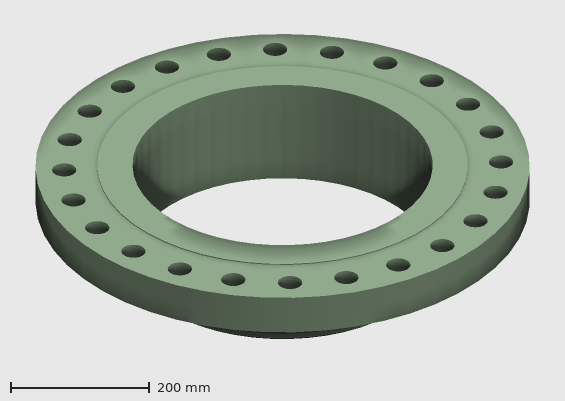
import cadquery as cq
import math

flange_diameter = 711.2
total_height = 158.75
bore_diameter = 431.8

flange_thickness = 60.325
raised_face_height = 1.5875
raised_face_diameter = 533.4

hub_top_diameter = 533.4
hub_root_fillet = 12.7

pipe_diameter = 457.2
collar_height = 7.25
weld_land = 1.6
bevel_angle = math.radians(37.5)

bolt_count = 24
bolt_circle_diameter = 628.65
bolt_hole_diameter = 34.925

bore_radius = bore_diameter / 2
pipe_radius = pipe_diameter / 2
hub_top_radius = hub_top_diameter / 2
flange_radius = flange_diameter / 2
raised_face_radius = raised_face_diameter / 2
land_radius = bore_radius + weld_land
bevel_height = (pipe_radius - land_radius) * math.tan(bevel_angle)
collar_top = bevel_height + collar_height
flange_bottom = total_height - flange_thickness
plate_top = total_height - raised_face_height


def turned(profile):
    """Solid made by turning a closed (radius, height) outline about Z."""
    return cq.Workplane("XZ").polyline(profile).close().revolve(360, (0, 0, 0), (0, 1, 0))


def flange_body():
    """Plate, hub, collar and bore turned from one outline, with the hub root filleted."""
    body = turned(
        [
            (bore_radius, 0),
            (land_radius, 0),
            (pipe_radius, bevel_height),
            (pipe_radius, collar_top),
            (hub_top_radius, flange_bottom),
            (flange_radius, flange_bottom),
            (flange_radius, plate_top),
            (raised_face_radius, plate_top),
            (raised_face_radius, total_height),
            (bore_radius, total_height),
        ]
    )
    plate_underside = body.faces("-Z").faces(">Z")
    hub_root = plate_underside.edges(cq.selectors.RadiusNthSelector(0))
    return hub_root.fillet(hub_root_fillet)


def bolt_holes():
    """Ring of through-hole cutters spanning the flange plate."""
    return (
        cq.Workplane("XY")
        .workplane(offset=flange_bottom)
        .polarArray(bolt_circle_diameter / 2, 0, 360, bolt_count, rotate=False)
        .circle(bolt_hole_diameter / 2)
        .extrude(flange_thickness)
    )


result = flange_body().cut(bolt_holes())